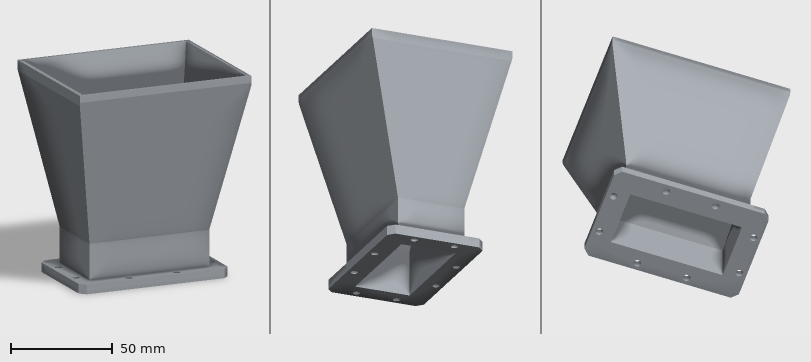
import cadquery as cq

mouth_x = 75.2
mouth_y = 92.5
height = 105.0
mouth_inner_x = 71.5
mouth_inner_y = 88.2

bore_x = 29.1
bore_y = 58.2
throat_wall = 3.3
throat_x = bore_x + 2 * throat_wall
throat_y = bore_y + 2 * throat_wall
throat_top = 23.3

rim_base_x = 101.5
rim_base_y = 99.8

flange_x = 51.0
flange_y = 80.4
flange_thickness = 4.8
corner_chamfer = 3.2

hole_diameter = 3.7
long_side_hole_x = 21.8
long_side_hole_y = 12.8
short_side_hole_x = 10.7
short_side_hole_y = 36.4


def block(size_x, size_y, size_z):
    """Box centred on the Z axis and standing on the flange base plane."""
    return cq.Workplane("XY").box(size_x, size_y, size_z, centered=(True, True, False))


def taper(bottom_x, bottom_y, top_x, top_y):
    """Flared solid from the top of the throat to the mouth plane."""
    return (
        cq.Workplane("XY")
        .workplane(offset=throat_top)
        .rect(bottom_x, bottom_y)
        .workplane(offset=height - throat_top)
        .rect(top_x, top_y)
        .loft(ruled=True)
    )


def width_at_top(bottom_width, mouth_width, rim_base):
    """Width a sloping face pair would reach if continued to the mouth plane."""
    growth = (mouth_width - bottom_width) / (rim_base - throat_top)
    return bottom_width + growth * (height - throat_top)


def make_flange():
    plate = block(flange_x, flange_y, flange_thickness).edges("|Z").chamfer(corner_chamfer)
    hole_points = []
    for side_x in (-1, 1):
        for side_y in (-1, 1):
            hole_points.append((side_x * long_side_hole_x, side_y * long_side_hole_y))
            hole_points.append((side_x * short_side_hole_x, side_y * short_side_hole_y))
    holes = (
        cq.Workplane("XY")
        .pushPoints(hole_points)
        .circle(hole_diameter / 2)
        .extrude(flange_thickness)
    )
    return plate.cut(holes)


def make_horn_body():
    flare = taper(
        throat_x,
        throat_y,
        width_at_top(throat_x, mouth_x, rim_base_x),
        width_at_top(throat_y, mouth_y, rim_base_y),
    )
    return flare.intersect(block(mouth_x, mouth_y, height))


def make_passage():
    flare = taper(bore_x, bore_y, mouth_inner_x, mouth_inner_y)
    return block(bore_x, bore_y, throat_top).union(flare)


throat = block(throat_x, throat_y, throat_top)
result = make_flange().union(throat).union(make_horn_body()).cut(make_passage())